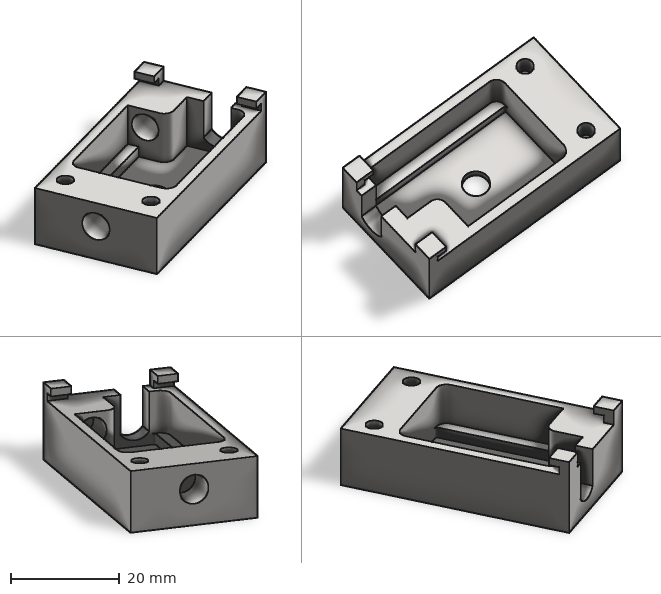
import cadquery as cq

width = 25.0
length = 45.7
body_height = 11.97
total_height = 15.0

pocket_width = 20.95
pocket_front = 10.25
pocket_back = 42.23
corner_radius = 2.0
floor_z = 1.6
channel_width = 16.45
channel_corner_radius = 0.5
rail_top_z = 3.75

step_right = -2.0
step_front = 34.75

drain_diameter = 5.2
drain_y = 24.18
pin_diameter = 3.2
pin_spacing = 17.55
pin_y = 5.1
pin_depth = 4.55
front_bore_diameter = 5.6
front_bore_z = 7.0
front_bore_depth = 6.85
step_bore_diameter = 5.5
step_bore_x = -6.9
step_bore_z = 8.2
step_bore_depth = 6.85

slot_width = 5.6
slot_x = 4.2
slot_bottom_z = 2.85
slot_bottom_radius = 3.5

hook_width = 4.0
hook_reach = 4.0
hook_stem = 2.0
hook_lip_z = 13.5


def box(x_min, x_max, y_min, y_max, z_min, z_max):
    """Box between the given limits."""
    return cq.Workplane("XY").box(
        x_max - x_min, y_max - y_min, z_max - z_min, centered=False
    ).translate((x_min, y_min, z_min))


def bore(diameter, x, z, y_start, depth):
    """Cylinder running from y_start in the +Y direction."""
    return (
        cq.Workplane("XZ", origin=(x, y_start, z))
        .circle(diameter / 2)
        .extrude(-depth)
    )


def pocket():
    """Upper pocket and the deeper channel between the rails, around the step."""
    side = pocket_width / 2
    upper = box(-side, side, pocket_front, pocket_back, rail_top_z, body_height)
    upper = upper.edges("|Z").fillet(corner_radius)
    channel = box(-channel_width / 2, channel_width / 2, pocket_front, pocket_back, floor_z, rail_top_z)
    channel = channel.edges("|Z").fillet(channel_corner_radius)
    step = box(-width / 2, step_right, step_front, length, 0, body_height)
    step = step.edges("|Z and >X and <Y").fillet(corner_radius)
    return upper.union(channel).cut(step)


def back_slot():
    """Slot open at the top, its bottom an arc wider than the slot."""
    half = slot_width / 2
    axis_z = slot_bottom_z + slot_bottom_radius
    wall = length - pocket_back
    round_bottom = bore(2 * slot_bottom_radius, slot_x, axis_z, pocket_back, wall)
    sides = box(slot_x - half, slot_x + half, pocket_back, length, 0, body_height)
    opening = box(slot_x - half, slot_x + half, pocket_back, length, axis_z, body_height)
    return round_bottom.intersect(sides).union(opening)


def hook(x_min):
    """Stem at the back edge carrying a lip that reaches forward."""
    x_max = x_min + hook_width
    stem = box(x_min, x_max, length - hook_stem, length, body_height, total_height)
    lip = box(x_min, x_max, length - hook_reach, length, hook_lip_z, total_height)
    return stem.union(lip)


result = box(-width / 2, width / 2, 0, length, 0, body_height)
result = result.cut(pocket()).cut(back_slot())

drain = cq.Workplane("XY").center(0, drain_y).circle(drain_diameter / 2).extrude(body_height)
pins = (
    cq.Workplane("XY", origin=(0, pin_y, body_height))
    .rarray(pin_spacing, 0.45, 2, 1)
    .circle(pin_diameter / 2)
    .extrude(-pin_depth)
)
result = result.cut(drain).cut(pins)
result = result.cut(bore(front_bore_diameter, 0, front_bore_z, 0, front_bore_depth))
result = result.cut(bore(step_bore_diameter, step_bore_x, step_bore_z, step_front, step_bore_depth))

for hook_x in (-width / 2, width / 2 - hook_width):
    result = result.union(hook(hook_x))